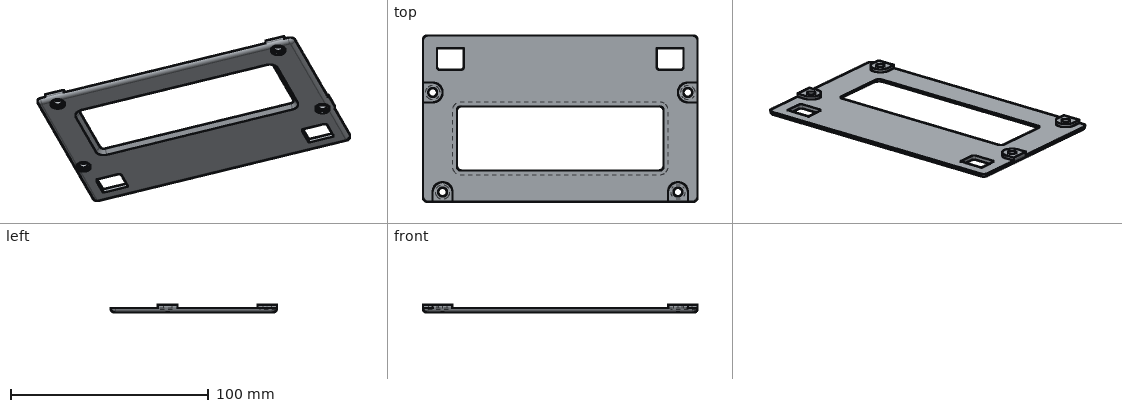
import cadquery as cq

length = 139.0
width = 84.2
total_height = 4.0
plate_thickness = 2.4
pad_height = total_height - plate_thickness
corner_radius = 2.6
rim_land = 0.03
bottom_edge_radius = plate_thickness - rim_land

pad_radius = 5.0
hole_diameter = 4.3
counterbore_diameter = 7.2
counterbore_depth = 1.5
hole_edge_distance = pad_radius
front_hole_side_distance = 10.0
front_hole_x = length / 2 - front_hole_side_distance
side_hole_x = length / 2 - hole_edge_distance
side_hole_y = 13.2
front_hole_y = hole_edge_distance - width / 2

window_length = 104.2
window_width = 32.2
window_radius = 2.0
window_bevel_angle = 45.0
window_front_margin = 16.0
window_y = window_front_margin + (window_width - width) / 2

port_length = 13.5
port_width = 10.7
port_radius = 1.4
port_side_margin = 7.2
port_back_margin = 6.7
port_x = (length - port_length) / 2 - port_side_margin
port_y = (width - port_width) / 2 - port_back_margin

sides = (-1, 1)
side_holes = [(side * side_hole_x, side_hole_y) for side in sides]
front_holes = [(side * front_hole_x, front_hole_y) for side in sides]


def make_plate():
    """Flat plate with rounded corners and a rounded bottom rim."""
    plate = cq.Workplane("XY").box(length, width, plate_thickness, centered=(True, True, False))
    return plate.edges("|Z").fillet(corner_radius).faces("<Z").edges().fillet(bottom_edge_radius)


def make_pad(x, y, edge_x, edge_y):
    """Pad with a round end at the hole (x, y) and a square end at the plate edge."""
    span_x = abs(edge_x - x) or 2 * pad_radius
    span_y = abs(edge_y - y) or 2 * pad_radius
    base = cq.Workplane("XY", origin=(0, 0, plate_thickness))
    square_end = base.center((x + edge_x) / 2, (y + edge_y) / 2).rect(span_x, span_y).extrude(pad_height)
    round_end = base.center(x, y).circle(pad_radius).extrude(pad_height)
    return round_end.union(square_end)


def make_window():
    """Cutter for the large window, flaring outwards from the top face to the bottom face."""
    outline = cq.Sketch().rect(window_length, window_width).vertices().fillet(window_radius)
    top_face = cq.Workplane("XY", origin=(0, window_y, plate_thickness))
    return top_face.placeSketch(outline).extrude(-plate_thickness, taper=-window_bevel_angle)


def make_port(x):
    """Cutter for a small straight-walled window."""
    block = cq.Workplane("XY").box(port_length, port_width, plate_thickness, centered=(True, True, False))
    return block.edges("|Z and <Y").fillet(port_radius).translate((x, port_y, 0))


result = make_plate()

for side in sides:
    result = result.union(make_pad(side * side_hole_x, side_hole_y, side * length / 2, side_hole_y))
for x, y in front_holes:
    result = result.union(make_pad(x, y, x, -width / 2))

result = result.cut(make_window())
for side in sides:
    result = result.cut(make_port(side * port_x))

holes = cq.Workplane("XY").pushPoints(side_holes + front_holes)
result = result.cut(holes.circle(hole_diameter / 2).extrude(total_height))
result = result.cut(holes.circle(counterbore_diameter / 2).extrude(counterbore_depth))